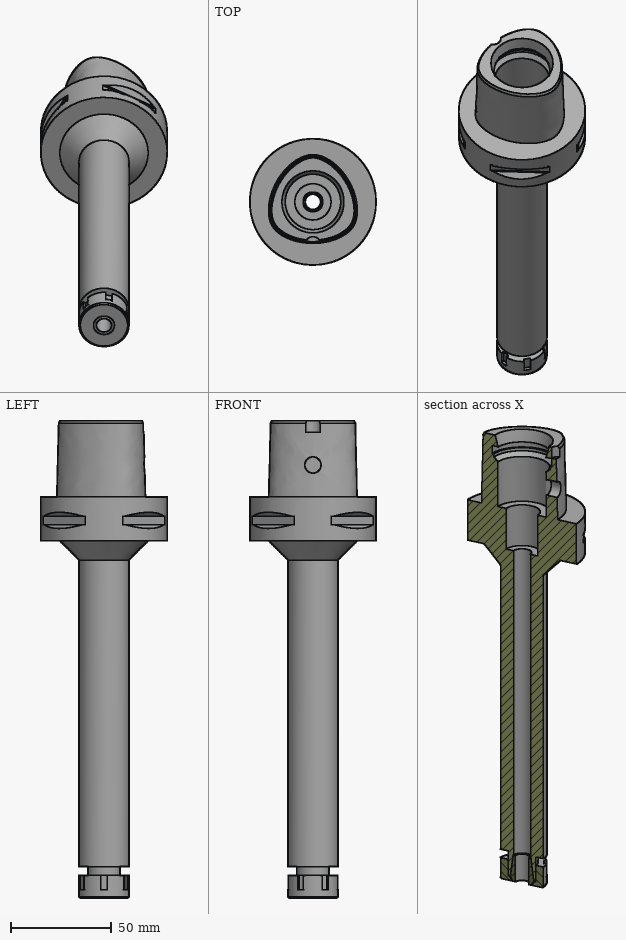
import cadquery as cq
import math


TOTAL_LENGTH = 238.0
SHANK_LENGTH = 38.0
FLANGE_HEIGHT = 22.0
NECK_CONE_HEIGHT = 9.5
BAR_BOTTOM_Z = 15.7
GAUGE_Z = TOTAL_LENGTH - SHANK_LENGTH
FLANGE_BOTTOM_Z = GAUGE_Z - FLANGE_HEIGHT
BAR_TOP_Z = FLANGE_BOTTOM_Z - NECK_CONE_HEIGHT

FLANGE_RADIUS = 63.0 / 2
BAR_RADIUS = 25.0 / 2
CONE_TOP_RADIUS = BAR_RADIUS + NECK_CONE_HEIGHT
NOSE_RADIUS = 8.0

SHANK_BASE_RADIUS = 22.1
SHANK_TAPER = 1 / 40
LOBE_HEIGHT = 1.5
SHANK_CHAMFER_HEIGHT = 1.5
SHANK_CHAMFER_WIDTH = 0.7
OUTLINE_POINT_COUNT = 72

MOUTH_RADIUS = 15.5
CLAMP_GROOVE_RADIUS = 17.1
CLAMP_GROOVE_TOP_DEPTH = 6.2
CLAMP_GROOVE_BOTTOM_DEPTH = 10.2
RELIEF_RADIUS = 16.2
RELIEF_DEPTH = 12.0
MAIN_BORE_RADIUS = 13.8
MAIN_BORE_TOP_DEPTH = 14.0
MAIN_BORE_DEPTH = SHANK_LENGTH
STEP_BORE_RADIUS = 9.0
STEP_BORE_DEPTH = SHANK_LENGTH + FLANGE_HEIGHT
THROUGH_RADIUS = 4.8

NOTCH_RADIUS = 4.0
NOTCH_DEPTH = 5.7
NOTCH_CENTER_Y = -21.5
SIDE_HOLE_RADIUS = NOTCH_RADIUS
SIDE_HOLE_Z = TOTAL_LENGTH - 22.1
SIDE_HOLE_FLOOR_Y = -14.5

GRIPPER_COUNT = 4
GRIPPER_START_ANGLE = 45.0
GRIPPER_Z = GAUGE_Z - 11.7
GRIPPER_FLOOR_DISTANCE = 27.8
GRIPPER_FLANK_DISTANCE = 28.5
GRIPPER_FLOOR_HEIGHT = 4.3
GRIPPER_MOUTH_HEIGHT = 8.0

NUT_RADIUS = BAR_RADIUS
NUT_HEIGHT = 11.5
NUT_CHAMFER = 0.7
NUT_SLOT_COUNT = 6
NUT_SLOT_WIDTH = 3.3
NUT_SLOT_FLOOR_RADIUS = 11.0
NUT_SLOT_BOTTOM_Z = 4.3

COLLET_TOP_Z = 14.3
COLLET_SHOULDER_Z = 2.4
COLLET_FACE_RADIUS = 5.2
COLLET_SHOULDER_RADIUS = 6.7
COLLET_TAPER_ANGLE = 8.0
COLLET_TOP_RADIUS = COLLET_SHOULDER_RADIUS - (COLLET_TOP_Z - COLLET_SHOULDER_Z) * math.tan(
    math.radians(COLLET_TAPER_ANGLE)
)
COLLET_BORE_RADIUS = 3.8


def revolve_profile(points):
    """Revolve a closed outline of (radius, z) points about the Z axis."""
    return cq.Workplane("XZ").polyline(points).close().revolve(360, (0, 0, 0), (0, 1, 0))


def polygon_wire(mean_radius, z):
    """Smooth three-lobed outline of constant width, starting on the -Y side."""

    def outline_point(t):
        angle = 2 * math.pi * t - math.pi / 2
        reach = mean_radius - LOBE_HEIGHT * math.sin(3 * angle)
        reach_slope = -3 * LOBE_HEIGHT * math.cos(3 * angle)
        x = reach * math.cos(angle) - reach_slope * math.sin(angle)
        y = reach * math.sin(angle) + reach_slope * math.cos(angle)
        return (x, y, z)

    points = [cq.Vector(*outline_point(i / OUTLINE_POINT_COUNT)) for i in range(OUTLINE_POINT_COUNT)]
    return cq.Wire.assembleEdges([cq.Edge.makeSpline(points, periodic=True)])


def make_shank():
    """Tapered polygon shank with a chamfered top edge."""
    chamfer_z = TOTAL_LENGTH - SHANK_CHAMFER_HEIGHT
    chamfer_radius = SHANK_BASE_RADIUS - (chamfer_z - GAUGE_Z) * SHANK_TAPER
    base = polygon_wire(SHANK_BASE_RADIUS, GAUGE_Z)
    chamfer_start = polygon_wire(chamfer_radius, chamfer_z)
    top = polygon_wire(chamfer_radius - SHANK_CHAMFER_WIDTH, TOTAL_LENGTH)
    taper = cq.Solid.makeLoft([base, chamfer_start], True)
    chamfer = cq.Solid.makeLoft([chamfer_start, top], True)
    return cq.Workplane(taper).union(cq.Workplane(chamfer))


def make_turned_body():
    """Flange, cone, bar and nose below the shank."""
    return revolve_profile([
        (0, COLLET_SHOULDER_Z),
        (NOSE_RADIUS, COLLET_SHOULDER_Z),
        (NOSE_RADIUS, BAR_BOTTOM_Z),
        (BAR_RADIUS, BAR_BOTTOM_Z),
        (BAR_RADIUS, BAR_TOP_Z),
        (CONE_TOP_RADIUS, FLANGE_BOTTOM_Z),
        (FLANGE_RADIUS, FLANGE_BOTTOM_Z),
        (FLANGE_RADIUS, GAUGE_Z),
        (0, GAUGE_Z),
    ])


def make_holder_bore():
    """Stepped bore with a conical mouth, a clamping groove and a tapered collet seat."""
    return revolve_profile([
        (0, TOTAL_LENGTH),
        (MOUTH_RADIUS, TOTAL_LENGTH),
        (MAIN_BORE_RADIUS, TOTAL_LENGTH - CLAMP_GROOVE_TOP_DEPTH),
        (CLAMP_GROOVE_RADIUS, TOTAL_LENGTH - CLAMP_GROOVE_TOP_DEPTH),
        (CLAMP_GROOVE_RADIUS, TOTAL_LENGTH - CLAMP_GROOVE_BOTTOM_DEPTH),
        (RELIEF_RADIUS, TOTAL_LENGTH - CLAMP_GROOVE_BOTTOM_DEPTH),
        (RELIEF_RADIUS, TOTAL_LENGTH - RELIEF_DEPTH),
        (MAIN_BORE_RADIUS, TOTAL_LENGTH - MAIN_BORE_TOP_DEPTH),
        (MAIN_BORE_RADIUS, TOTAL_LENGTH - MAIN_BORE_DEPTH),
        (STEP_BORE_RADIUS, TOTAL_LENGTH - MAIN_BORE_DEPTH),
        (STEP_BORE_RADIUS, TOTAL_LENGTH - STEP_BORE_DEPTH),
        (THROUGH_RADIUS, TOTAL_LENGTH - STEP_BORE_DEPTH),
        (THROUGH_RADIUS, COLLET_TOP_Z),
        (COLLET_TOP_RADIUS, COLLET_TOP_Z),
        (COLLET_SHOULDER_RADIUS, COLLET_SHOULDER_Z),
        (0, COLLET_SHOULDER_Z),
    ])


def make_notch():
    """Round-backed notch open at the top face and at the -Y side."""
    floor = cq.Workplane("XY", origin=(0, NOTCH_CENTER_Y, TOTAL_LENGTH - NOTCH_DEPTH))
    return floor.circle(NOTCH_RADIUS).extrude(NOTCH_DEPTH)


def make_side_hole():
    """Flat-bottomed round hole entering from the -Y side."""
    floor = cq.Workplane("XZ", origin=(0, SIDE_HOLE_FLOOR_Y, SIDE_HOLE_Z))
    return floor.circle(SIDE_HOLE_RADIUS).extrude(FLANGE_RADIUS + SIDE_HOLE_FLOOR_Y)


def make_gripper_groove(angle):
    """Straight groove with a flat floor, upright walls and sloping flanks, cut toward +X then turned."""
    half_floor = GRIPPER_FLOOR_HEIGHT / 2
    half_mouth = GRIPPER_MOUTH_HEIGHT / 2
    section = [
        (GRIPPER_FLOOR_DISTANCE, GRIPPER_Z - half_floor),
        (GRIPPER_FLANK_DISTANCE, GRIPPER_Z - half_floor),
        (FLANGE_RADIUS, GRIPPER_Z - half_mouth),
        (FLANGE_RADIUS, GRIPPER_Z + half_mouth),
        (GRIPPER_FLANK_DISTANCE, GRIPPER_Z + half_floor),
        (GRIPPER_FLOOR_DISTANCE, GRIPPER_Z + half_floor),
    ]
    groove = cq.Workplane("XZ").polyline(section).close().extrude(FLANGE_RADIUS, both=True)
    return groove.rotate((0, 0, 0), (0, 0, 1), angle)


def make_holder():
    """Shank, flange and bar in one piece, with the bore, notch, side hole and grooves cut in."""
    holder = make_turned_body().union(make_shank())
    holder = holder.cut(make_holder_bore())
    holder = holder.cut(make_notch())
    holder = holder.cut(make_side_hole())
    for i in range(GRIPPER_COUNT):
        holder = holder.cut(make_gripper_groove(GRIPPER_START_ANGLE + i * 360 / GRIPPER_COUNT))
    return holder.solids()


def make_nut_slot(angle):
    """Spanner slot open at the rim and at the top of the nut."""
    slot_height = NUT_HEIGHT - NUT_SLOT_BOTTOM_Z
    slot = cq.Workplane("XY").box(NUT_RADIUS, NUT_SLOT_WIDTH, slot_height, centered=(False, True, False))
    slot = slot.translate((NUT_SLOT_FLOOR_RADIUS, 0, NUT_SLOT_BOTTOM_Z))
    return slot.rotate((0, 0, 0), (0, 0, 1), angle)


def make_nut():
    """Ring around the nose, with a conical opening that bears on the collet face."""
    nut = revolve_profile([
        (COLLET_FACE_RADIUS, 0),
        (NUT_RADIUS - NUT_CHAMFER, 0),
        (NUT_RADIUS, NUT_CHAMFER),
        (NUT_RADIUS, NUT_HEIGHT),
        (NOSE_RADIUS, NUT_HEIGHT),
        (NOSE_RADIUS, COLLET_SHOULDER_Z),
        (COLLET_SHOULDER_RADIUS, COLLET_SHOULDER_Z),
    ])
    for i in range(NUT_SLOT_COUNT):
        nut = nut.cut(make_nut_slot(i * 360 / NUT_SLOT_COUNT))
    return nut.solids()


def make_collet():
    """Tapered sleeve held between the holder seat and the nut."""
    return revolve_profile([
        (COLLET_BORE_RADIUS, 0),
        (COLLET_FACE_RADIUS, 0),
        (COLLET_SHOULDER_RADIUS, COLLET_SHOULDER_Z),
        (COLLET_TOP_RADIUS, COLLET_TOP_Z),
        (COLLET_BORE_RADIUS, COLLET_TOP_Z),
    ])


holder = make_holder()
nut = make_nut()
collet = make_collet()
result = cq.Compound.makeCompound([holder.val(), nut.val(), collet.val()])